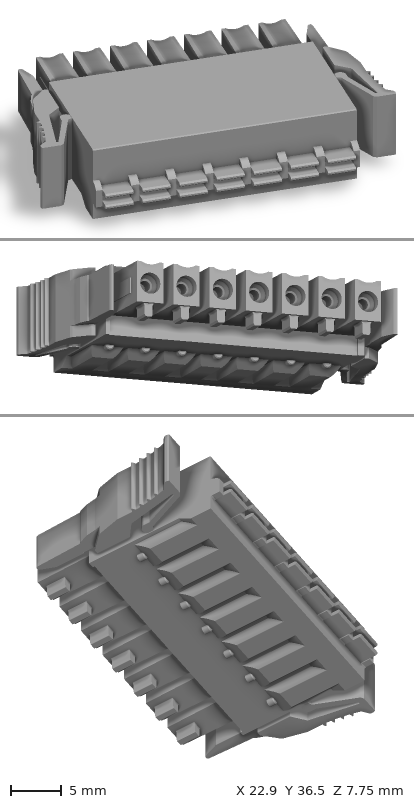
import cadquery as cq

pole_count = 7
row_span = 22.85
pole_pitch = row_span / (pole_count - 1)
pole_positions = [-row_span / 2 + i * pole_pitch for i in range(pole_count)]
total_length = 22.9
total_half_width = 18.25
total_height = 7.75

housing_front = 6.55
housing_back = 20.9
housing_half_width = 13.55
housing_bottom = 0.88
back_edge_chamfer = 0.1
front_recess_depth = 0.22
front_recess_left = 13.13
front_recess_right = -12.9

plug_tip_width = 2.77
plug_root_width = 3.0
plug_bottom = 2.85
plug_top = 6.93
groove_width = 1.9
groove_depth = 0.25

hole_z = 4.78
entry_radius = 1.05
entry_depth = 1.05
throat_radius = 0.75
throat_depth = 1.45
bore_radius = 0.55
bore_depth = 2.9

tab_start = 0.45
tab_end = 2.6
tab_bottom = 1.53
tab_width = 0.85
tab_bevel_width = 0.1
tab_bevel_height = 0.22
tab_head_width = 1.05
tab_head_height = 0.22

rib_start = 1.55
rib_bottom = 4.0
rib_top = 5.58
rib_tip_reach = 12.95
rib_root_reach = 13.02

pad_front = 11.6
pad_flat_front = 13.02
pad_radius = 1.7
pad_axis_z = 1.35
back_pad_front = 17.15
back_pad_flat_front = 18.55
nub_start = 10.95
nub_end = 11.8
nub_radius = 0.45
nub_chamfer = 0.1

nose_end = 21.95
nose_bottom = 1.75
nose_tip_bottom = 1.85
nose_tip_top = 3.72
nose_top = 4.3
nose_bottom_lead = 0.15
contact_width = 2.88
slot_clearance = 0.05
contact_thickness = 0.47
contact_bottoms = [1.95, 3.17]
contact_tip_length = 0.2
contact_tip_bevel = 0.15
contact_embed = 0.35

lever_bottom = 0.95
grip_bottom = 2.08
grip_top = 6.67
lever_inner = 14.15
foot_gap = 0.05
tooth_count = 4
tooth_pitch = 1.0
first_tooth_x = 13.8
tooth_lead = 0.1
tooth_width = 0.47
tooth_tip_width = 0.1
tooth_height = 0.35
tooth_root = 0.2
crown_end = (12.05, 16.78)
crown_slope = 0.25
comb_start = (13.8, 16.78)
comb_middle = (15.85, 17.0)
comb_end = (17.9, 17.47)
post_bottom = 4.38
post_top = 6.4


def box(x0, x1, y0, y1, z0, z1):
    return cq.Workplane("XY").box(x1 - x0, y1 - y0, z1 - z0, centered=False).translate((x0, y0, z0))


def side_profile(points, half_width, y_center=0):
    """Extrude an X-Z outline equally to both sides of y_center."""
    outline = cq.Workplane("XZ", origin=(0, y_center, 0)).polyline(points).close()
    return outline.extrude(half_width, both=True)


def plan_profile(points, z0, z1):
    """Extrude an X-Y outline from z0 up to z1."""
    return cq.Workplane("XY", origin=(0, 0, z0)).polyline(points).close().extrude(z1 - z0)


def disc_x(x0, x1, radius, y, z):
    """Cylinder along X."""
    return cq.Workplane("YZ", origin=(x0, y, z)).circle(radius).extrude(x1 - x0)


def make_housing():
    block = box(housing_front, housing_back, -housing_half_width, housing_half_width,
                housing_bottom, total_height)
    block = block.edges(">X and >Z").chamfer(back_edge_chamfer)
    recess = box(housing_front, housing_front + front_recess_depth,
                 front_recess_right, front_recess_left, housing_bottom, plug_bottom)
    back_pad = side_profile(
        [(back_pad_front, housing_bottom), (back_pad_flat_front, 0),
         (housing_back, 0), (housing_back, housing_bottom)],
        housing_half_width)
    return block.cut(recess).union(back_pad)


def make_pole_pad(y):
    """Flattened half cylinder with a sloped front end, and the small nub before it."""
    envelope = side_profile(
        [(pad_front, housing_bottom), (pad_flat_front, 0),
         (back_pad_flat_front, 0), (back_pad_flat_front, housing_bottom)],
        pad_radius, y)
    pad = disc_x(pad_front, back_pad_flat_front, pad_radius, y, pad_axis_z).intersect(envelope)
    nub = disc_x(nub_start, nub_end, nub_radius, y, housing_bottom).edges().chamfer(nub_chamfer)
    return pad.union(nub)


def make_plug(y):
    tip = plug_tip_width / 2
    root = plug_root_width / 2
    root_x = housing_front + front_recess_depth
    plug = plan_profile([(0, y - tip), (root_x, y - root), (root_x, y + root), (0, y + tip)],
                        plug_bottom, plug_top)
    groove_radius = ((groove_width / 2) ** 2 + groove_depth ** 2) / (2 * groove_depth)
    groove = disc_x(0, housing_front, groove_radius, y, plug_top - groove_depth + groove_radius)
    return plug.cut(groove).union(make_coding_tab(y))


def make_coding_tab(y):
    """Tab that flares at its top and narrows at its foot."""
    half = tab_width / 2
    foot = half - tab_bevel_width
    head = tab_head_width / 2
    bevel_top = tab_bottom + tab_bevel_height
    head_bottom = plug_bottom - tab_head_height
    return (cq.Workplane("YZ", origin=(tab_start, y, 0))
            .polyline([(-head, plug_bottom), (-half, head_bottom), (-half, bevel_top), (-foot, tab_bottom),
                       (foot, tab_bottom), (half, bevel_top), (half, head_bottom), (head, plug_bottom)])
            .close().extrude(tab_end - tab_start))


def make_plug_hole(y):
    """Wide entry, conical throat and narrow blind bore, turned about the plug axis."""
    return (cq.Workplane("XY", origin=(0, y, hole_z))
            .polyline([(0, 0), (0, entry_radius), (entry_depth, entry_radius),
                       (throat_depth, throat_radius), (throat_depth, bore_radius),
                       (bore_depth, bore_radius), (bore_depth, 0)])
            .close().revolve(360, (0, 0, 0), (1, 0, 0)))


def make_end_rib():
    """Tapered rib on the outer flank of the plug at the +Y end."""
    plug_y = pole_positions[-1]
    return plan_profile([(rib_start, plug_y), (rib_start, rib_tip_reach),
                         (housing_front, rib_root_reach), (housing_front, plug_y)],
                        rib_bottom, rib_top)


def make_nose():
    nose = (cq.Workplane("XZ")
            .moveTo(housing_back, nose_top)
            .threePointArc((21.5, 4.1), (nose_end, nose_tip_top))
            .lineTo(nose_end, nose_tip_bottom)
            .lineTo(housing_back + nose_bottom_lead, nose_tip_bottom)
            .lineTo(housing_back, nose_bottom)
            .close().extrude(housing_half_width, both=True))
    slot_half_width = contact_width / 2 + slot_clearance
    for y in pole_positions:
        nose = nose.cut(box(housing_back, nose_end, y - slot_half_width, y + slot_half_width,
                            nose_bottom, nose_top))
    return nose


def make_contact(y, bottom):
    top = bottom + contact_thickness
    root_x = housing_back - contact_embed
    taper_x = total_length - contact_tip_length
    return side_profile(
        [(root_x, bottom), (taper_x, bottom), (total_length, bottom + contact_tip_bevel),
         (total_length, top - contact_tip_bevel), (taper_x, top), (root_x, top)],
        contact_width / 2, y)


def crown_y(x):
    """Y of the straight outer slope shared by the grip and the lever head."""
    return crown_end[1] - crown_slope * (crown_end[0] - x)


def make_grip():
    """Thin finger grip of the lever, running into the head along the crown slope."""
    return (cq.Workplane("XY", origin=(0, 0, grip_bottom))
            .moveTo(1.3, 15.03)
            .lineTo(1.53, 15.15)
            .lineTo(6.65, 15.3)
            .lineTo(6.82, 15.45)
            .lineTo(7.8, 15.83)
            .lineTo(8.85, crown_y(8.85))
            .lineTo(10.95, crown_y(10.95))
            .lineTo(10.95, lever_inner)
            .lineTo(6.27, lever_inner)
            .lineTo(6.27, 14.05)
            .lineTo(3.05, 14.05)
            .lineTo(1.45, 14.65)
            .lineTo(1.3, 14.85)
            .close().extrude(grip_top - grip_bottom))


def comb_y(x):
    """Y of the comb, on the parabola through its three guide points."""
    (x0, y0), (x1, y1), (x2, y2) = comb_start, comb_middle, comb_end
    return (y0 * (x - x1) * (x - x2) / ((x0 - x1) * (x0 - x2))
            + y1 * (x - x0) * (x - x2) / ((x1 - x0) * (x1 - x2))
            + y2 * (x - x0) * (x - x1) / ((x2 - x0) * (x2 - x1)))


def make_tooth(x):
    root = comb_y(x)
    return plan_profile([(x, root - tooth_root), (x, root), (x + tooth_lead, root + tooth_height),
                         (x + tooth_lead + tooth_tip_width, root + tooth_height),
                         (x + tooth_width, root), (x + tooth_width, root - tooth_root)],
                        lever_bottom, total_height)


def make_lever():
    """Lever on the +Y side: full-height head with a folded-back spring arm, plus the grip."""
    foot_end = housing_half_width + foot_gap
    head = (cq.Workplane("XY", origin=(0, 0, lever_bottom))
            .moveTo(7.9, lever_inner)
            .lineTo(7.9, 14.6)
            .lineTo(9.35, 16.0)
            .lineTo(9.6, crown_y(9.6))
            .lineTo(*crown_end)
            .lineTo(*comb_start)
            .threePointArc(comb_middle, comb_end)
            .lineTo(18.4, 18.13)
            .lineTo(18.6, total_half_width)
            .lineTo(18.85, total_half_width)
            .lineTo(19.07, 18.15)
            .lineTo(19.07, 16.23)
            .lineTo(18.85, 15.9)
            .lineTo(14.37, 14.05)
            .lineTo(14.2, foot_end)
            .lineTo(13.45, foot_end)
            .lineTo(13.28, 13.9)
            .threePointArc((13.35, 14.45), (13.7, 14.7))
            .lineTo(14.4, 14.7)
            .lineTo(18.35, 16.3)
            .lineTo(18.35, 16.52)
            .lineTo(12.87, 15.55)
            .lineTo(11.75, lever_inner)
            .close().extrude(total_height - lever_bottom))
    post = plan_profile([(9.5, housing_half_width), (11.1, housing_half_width),
                         (10.9, lever_inner), (9.63, lever_inner)], post_bottom, post_top)
    lever = head.union(post).union(make_grip())
    for i in range(tooth_count):
        lever = lever.union(make_tooth(first_tooth_x + i * tooth_pitch))
    return lever


result = make_housing().union(make_nose())
for pole_y in pole_positions:
    result = result.union(make_plug(pole_y)).union(make_pole_pad(pole_y))
    for contact_bottom in contact_bottoms:
        result = result.union(make_contact(pole_y, contact_bottom))
for side_part in (make_end_rib(), make_lever()):
    result = result.union(side_part).union(side_part.mirror("XZ"))
for pole_y in pole_positions:
    result = result.cut(make_plug_hole(pole_y))